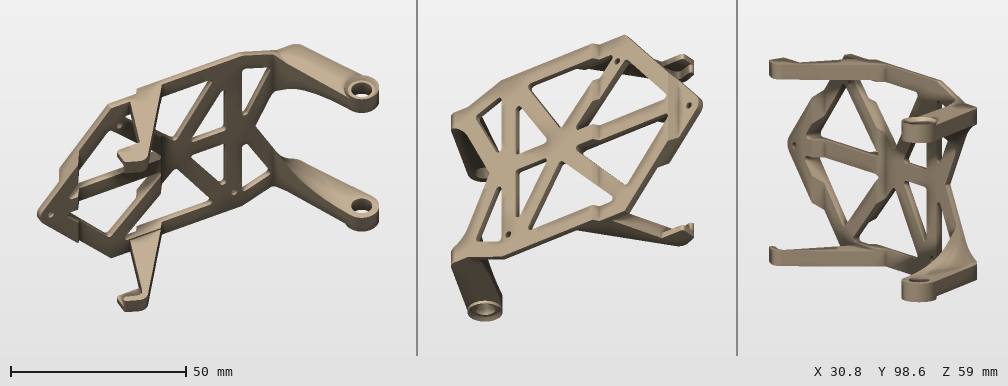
import cadquery as cq
import math

LENGTH = 98.59
HEIGHT = 59.0
REACH = 30.82
half_height = HEIGHT / 2

OUTER_THICKNESS = 1.8
MIDDLE_BACK = 3.9
NOSE_FACE = 4.8
NOSE_BACK = 6.9
UPPER_STEP_TOP = 34.6
UPPER_STEP_BOTTOM = 33.5
NOSE_STEP_BACK_TOP = 14.1
NOSE_STEP_BACK_BOTTOM = 12.2
NOSE_STEP_FACE_TOP = 8.8
NOSE_STEP_FACE_BOTTOM = 7.1

BOSS_RADIUS = 5.0
BORE_RADIUS = 3.0
COUNTERSINK_RADIUS = 4.0
COUNTERSINK_DEPTH = 1.0
ARM_INNER_Z = 20.6
ARM_OUTER_Z = 25.1
BOSS_OUTER_Z = 26.0
boss_x = REACH - BOSS_RADIUS
boss_y = LENGTH - BOSS_RADIUS
ARM_FACE_CORNER_Y = 86.2
ARM_BACK_CORNER_Y = 77.6
ARM_FACE_FILLET = 3.0
ARM_BACK_FILLET = 1.5

SHOULDER_Y = 67.6
ARM_ROOT_Y = 79.6
V_NOTCH_Y = 71.85
V_CORNER_Y = 82.5
V_FILLET = 10.0
NOSE_CORNER_Y = 24.4
NOSE_HOLE_Y = 3.5
NOSE_HOLE_Z = -0.65
nose_radius = NOSE_HOLE_Y

SPINE_HALF_WIDTH = 2.5
RAIL_INNER_Z = 24.5
WINDOW_FILLET = 1.0
PAIRED_WINDOWS = [
    [(77.2, 20.8), (SHOULDER_Y, 24.4), (SHOULDER_Y, 2.7)],
    [(62.5, 20.8), (62.5, SPINE_HALF_WIDTH), (50.3, SPINE_HALF_WIDTH)],
    [(58.8, RAIL_INNER_Z), (27.4, RAIL_INNER_Z), (46.2, 5.1)],
]
NOSE_WINDOWS = [
    [(42.0, SPINE_HALF_WIDTH), (8.2, SPINE_HALF_WIDTH), (23.9, 21.3)],
    [(42.0, -SPINE_HALF_WIDTH), (7.6, -SPINE_HALF_WIDTH), (23.9, -21.3)],
]

PIN_HOLE_RADIUS = 1.0
PIN_HOLES = [(27.1, 21.5), (65.1, -23.0), (NOSE_HOLE_Y, NOSE_HOLE_Z)]

HOOK_INNER_Z = 25.1
LIP_INNER_Z = 27.75
HOOK_TIP_Y = 17.5
HOOK_ROOT_TOP_Y = 41.8
HOOK_ROOT_BOTTOM_Y = 30.5
HEEL = (27.85, 23.45)
HEEL_FILLET = 3.0
TOE_X = 25.55
TOE_FILLET = 0.9
LIP_FACE_X = 20.15
LIP_ROOT_Y = 25.2
FINGER_ROOT_X = 25.62
FINGER_ROOT_FILLET = 1.8
hook_root_bottom = (MIDDLE_BACK, HOOK_ROOT_BOTTOM_Y)
hook_root_top = (OUTER_THICKNESS, HOOK_ROOT_TOP_Y)
lip_root = (LIP_FACE_X, LIP_ROOT_Y)


def tangent_point(start, centre, radius, side):
    """Point where a line from start touches a circle; side 1 is left of travel, -1 is right."""
    dx = centre[0] - start[0]
    dy = centre[1] - start[1]
    angle = math.atan2(dy, dx) + side * math.asin(radius / math.hypot(dx, dy))
    return (
        centre[0] - side * radius * math.sin(angle),
        centre[1] + side * radius * math.cos(angle),
    )


def y_on_line(start, end, x):
    """Y at the given X on the line through two points."""
    return start[1] + (x - start[0]) * (end[1] - start[1]) / (end[0] - start[0])


def rounded_outline(plane, corners):
    """Closed outline through corners (point, fillet radius); radius 0 keeps the corner sharp."""
    outline = cq.Workplane(plane)
    pen_is_down = False
    for index, (point, radius) in enumerate(corners):
        corner = cq.Vector(*point)
        if radius == 0:
            stretch = [corner]
        else:
            before = cq.Vector(*corners[index - 1][0])
            after = cq.Vector(*corners[(index + 1) % len(corners)][0])
            to_before = (before - corner).normalized()
            to_after = (after - corner).normalized()
            half_angle = to_before.getAngle(to_after) / 2
            setback = radius / math.tan(half_angle)
            bisector = (to_before + to_after).normalized()
            middle = corner + bisector * (radius / math.sin(half_angle) - radius)
            stretch = [corner + to_before * setback, middle, corner + to_after * setback]
        first = stretch[0].toTuple()[:2]
        outline = outline.lineTo(*first) if pen_is_down else outline.moveTo(*first)
        pen_is_down = True
        if radius:
            outline = outline.threePointArc(stretch[1].toTuple()[:2], stretch[2].toTuple()[:2])
    return outline.close()


def sharp(points):
    """Corners without fillets."""
    return [(point, 0) for point in points]


def mirrored(body):
    """The body together with its mirror image below the mid-plane."""
    return body.union(body.mirror("XY"))


def slab(outline, low_z, high_z):
    """XY outline extruded between two heights."""
    return outline.extrude(high_z - low_z).translate((0, 0, low_z))


def make_section():
    """Plate and boss-arm section, extruded over the full height."""
    boss_centre = (boss_x, boss_y)
    face_corner = (0, ARM_FACE_CORNER_Y)
    back_corner = (OUTER_THICKNESS, ARM_BACK_CORNER_Y)
    face_tangent = tangent_point(face_corner, boss_centre, BOSS_RADIUS, 1)
    back_tangent = tangent_point(back_corner, boss_centre, BOSS_RADIUS, -1)
    corners = [
        (face_corner, ARM_FACE_FILLET),
        (face_tangent, 0),
        (boss_centre, 0),
        (back_tangent, 0),
        (back_corner, ARM_BACK_FILLET),
    ]
    corners += sharp([
        hook_root_top,
        (MIDDLE_BACK, y_on_line(hook_root_top, HEEL, MIDDLE_BACK)),
        (MIDDLE_BACK, NOSE_STEP_BACK_TOP),
        (NOSE_BACK, NOSE_STEP_BACK_BOTTOM),
        (NOSE_BACK, 0),
        (NOSE_FACE, 0),
        (NOSE_FACE, NOSE_STEP_FACE_BOTTOM),
        (OUTER_THICKNESS, NOSE_STEP_FACE_TOP),
        (OUTER_THICKNESS, UPPER_STEP_BOTTOM),
        (0, UPPER_STEP_TOP),
    ])
    return slab(rounded_outline("XY", corners), -half_height, half_height)


def make_plan():
    """YZ outline of plate and arms, extruded over the full reach."""
    nose_centre = (NOSE_HOLE_Y, NOSE_HOLE_Z)
    upper_nose = tangent_point((NOSE_CORNER_Y, half_height), nose_centre, nose_radius, -1)
    lower_nose = tangent_point((NOSE_CORNER_Y, -half_height), nose_centre, nose_radius, 1)
    outline = (
        cq.Workplane("YZ")
        .polyline([
            upper_nose,
            (NOSE_CORNER_Y, half_height),
            (SHOULDER_Y, half_height),
            (ARM_ROOT_Y, ARM_OUTER_Z),
            (LENGTH, ARM_OUTER_Z),
            (LENGTH, -ARM_OUTER_Z),
            (ARM_ROOT_Y, -ARM_OUTER_Z),
            (SHOULDER_Y, -half_height),
            (NOSE_CORNER_Y, -half_height),
            lower_nose,
        ])
        .threePointArc((0, NOSE_HOLE_Z), upper_nose)
        .close()
    )
    v_notch = rounded_outline("YZ", [
        ((V_NOTCH_Y, 0), 0),
        ((V_CORNER_Y, ARM_INNER_Z), V_FILLET),
        ((LENGTH, ARM_INNER_Z), 0),
        ((LENGTH, -ARM_INNER_Z), 0),
        ((V_CORNER_Y, -ARM_INNER_Z), V_FILLET),
    ])
    return outline.extrude(REACH).cut(v_notch.extrude(REACH))


def make_windows():
    """Cutters for all triangular windows."""
    lower_windows = [[(y, -z) for y, z in points] for points in PAIRED_WINDOWS]
    cutters = cq.Workplane("YZ")
    for points in PAIRED_WINDOWS + lower_windows + NOSE_WINDOWS:
        corners = [(point, WINDOW_FILLET) for point in points]
        cutters = cutters.union(rounded_outline("YZ", corners).extrude(NOSE_BACK))
    return cutters


def make_pin_holes():
    """Cutters for the pin holes."""
    return cq.Workplane("YZ").pushPoints(PIN_HOLES).circle(PIN_HOLE_RADIUS).extrude(NOSE_BACK)


def make_boss():
    """Solid boss at the end of the upper arm."""
    disc = cq.Workplane("XY").center(boss_x, boss_y).circle(BOSS_RADIUS)
    return slab(disc, ARM_INNER_Z, BOSS_OUTER_Z)


def make_bore():
    """Cutter for the upper boss: bore with a flat-bottomed conical countersink outside."""
    floor_z = BOSS_OUTER_Z - COUNTERSINK_DEPTH
    profile = [
        (0, ARM_INNER_Z),
        (BORE_RADIUS, ARM_INNER_Z),
        (BORE_RADIUS, floor_z),
        (COUNTERSINK_RADIUS, floor_z),
        (BOSS_RADIUS, BOSS_OUTER_Z),
        (0, BOSS_OUTER_Z),
    ]
    cutter = cq.Workplane("XZ").polyline(profile).close().revolve(360, (0, 0), (0, 1))
    return cutter.translate((boss_x, boss_y, 0))


def make_hook():
    """Upper snap hook: a wide lip on the outside and a slim undercut finger inside it."""
    back = [
        (hook_root_bottom, 0),
        ((OUTER_THICKNESS, HOOK_ROOT_BOTTOM_Y), 0),
        (hook_root_top, 0),
        (HEEL, HEEL_FILLET),
        ((TOE_X, HOOK_TIP_Y), TOE_FILLET),
    ]
    lip = back + [
        ((LIP_FACE_X, HOOK_TIP_Y), TOE_FILLET),
        (lip_root, 0),
    ]

    finger_root = (FINGER_ROOT_X, y_on_line(hook_root_bottom, lip_root, FINGER_ROOT_X))
    underside_slope = (LIP_ROOT_Y - HOOK_ROOT_BOTTOM_Y) / (LIP_FACE_X - MIDDLE_BACK)
    finger_tip_x = FINGER_ROOT_X + underside_slope * (finger_root[1] - HOOK_TIP_Y)
    finger = back + [
        ((finger_tip_x, HOOK_TIP_Y), TOE_FILLET),
        (finger_root, FINGER_ROOT_FILLET),
    ]
    outer = slab(rounded_outline("XY", lip), LIP_INNER_Z, half_height)
    inner = slab(rounded_outline("XY", finger), HOOK_INNER_Z, LIP_INNER_Z)
    return outer.union(inner)


frame = make_section().intersect(make_plan())
frame = frame.cut(make_windows()).cut(make_pin_holes())
frame = frame.union(mirrored(make_boss())).cut(mirrored(make_bore()))
result = frame.union(mirrored(make_hook()))